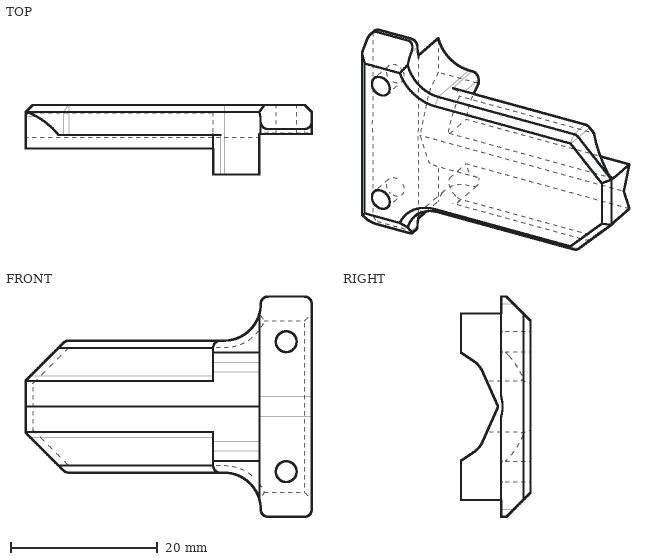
import cadquery as cq
import math


length = 38.95
plate_height = 30.0
clamp_depth = 9.5

plate_width = 6.97
plate_depth = 4.0
plate_end_chamfer = 3.3
hole_diameter = 2.8
hole_spacing = 17.68
relief_radius = 5.0
relief_half_height = 1.35

body_half_height = 9.0
body_depth = 4.1
tip_chamfer = 5.45
neck_radius = 4.95
corner_radius = 1.0
back_chamfer = 0.97

clamp_start = 25.5
clamp_end = 31.8
rail_half_height = 3.45

channel_apex_depth = 4.45
channel_v_half_height = 4.75
channel_v_angle = math.radians(24)
channel_lip_angle = math.radians(56)
channel_lip_half_height = 6.05
channel_mouth_half_height = 7.35

pocket_radius = 10.3
pocket_axis_depth = 10.6
pocket_fillet = 0.5

plate_start = length - plate_width
plate_half_height = plate_height / 2
bevel_start = plate_half_height - plate_end_chamfer


def block(x_range, depth_range, z_range):
    """Box between two X, two depths in front of the back face, and two Z."""
    size_x = x_range[1] - x_range[0]
    size_y = depth_range[1] - depth_range[0]
    size_z = z_range[1] - z_range[0]
    corner = (x_range[0], -depth_range[1], z_range[0])
    return cq.Workplane("XY").box(size_x, size_y, size_z, centered=False).translate(corner)


def mirrored(half):
    """Join a feature with its copy on the other side of Z = 0."""
    return half.union(half.mirror("XY"))


def make_upper_outline():
    """Upper half of the outline: pointed arm, concave neck and end plate, at full depth."""
    neck_start = plate_start - neck_radius
    neck_end = body_half_height + neck_radius
    neck_offset = neck_radius * math.sqrt(0.5)
    neck_middle = (neck_start + neck_offset, neck_end - neck_offset)
    outline = (
        cq.Workplane("XZ")
        .lineTo(0, body_half_height - tip_chamfer)
        .lineTo(tip_chamfer, body_half_height)
        .lineTo(neck_start, body_half_height)
        .threePointArc(neck_middle, (plate_start, neck_end))
        .lineTo(plate_start, plate_half_height)
        .lineTo(length, plate_half_height)
        .lineTo(length, 0)
        .close()
        .extrude(clamp_depth)
    )
    rounded_corners = [
        (tip_chamfer, body_half_height),
        (plate_start, plate_half_height),
        (length, plate_half_height),
    ]
    for x, z in rounded_corners:
        outline = outline.edges(cq.NearestToPointSelector((x, -clamp_depth / 2, z))).fillet(corner_radius)
    return outline


def make_end_wedge():
    """Corner cut away behind the upper end of the plate."""
    return (
        cq.Workplane("YZ")
        .moveTo(0, bevel_start)
        .lineTo(-plate_end_chamfer, plate_half_height)
        .lineTo(0, plate_half_height)
        .close()
        .extrude(length)
    )


def make_blank():
    """Full-depth blank with bevelled plate ends and a chamfer along the rest of the back."""
    blank = mirrored(make_upper_outline().cut(make_end_wedge())).clean()
    return blank.faces(">Y").edges("not (>Z or <Z)").chamfer(back_chamfer)


def trim_depths(blank):
    """Cut the arms, the rail and the plate back from the full clamp depth."""
    front = clamp_depth
    arm = block((0, clamp_start), (body_depth, front), (rail_half_height, plate_half_height))
    plate = block((clamp_end, length), (plate_depth, front), (-plate_half_height, plate_half_height))
    return blank.cut(mirrored(arm)).cut(plate)


def round_clamp(part):
    """Round the two clamp corners that stand in front of the arms."""
    for side in (1, -1):
        middle = (clamp_start, -(body_depth + clamp_depth) / 2, side * body_half_height)
        part = part.edges(cq.NearestToPointSelector(middle)).fillet(corner_radius)
    return part


def make_pocket():
    """Trough above the rail with a curved floor, filleted where it meets the rail."""
    reach = block((0, clamp_start), (0, body_depth), (rail_half_height, body_half_height))
    curve = (
        cq.Workplane("YZ")
        .center(-pocket_axis_depth, 0)
        .circle(pocket_radius)
        .extrude(clamp_start)
    )
    pocket = reach.intersect(curve)
    return pocket.edges("|X").edges(">Y").fillet(pocket_fillet)


def make_channel():
    """Upper half of the channel, from the V apex to the mouth at the clamp front."""
    bend_depth = channel_apex_depth + channel_v_half_height * math.tan(channel_v_angle)
    mouth_to_lip = channel_mouth_half_height - channel_lip_half_height
    lip_depth = clamp_depth - mouth_to_lip * math.tan(channel_lip_angle)
    return (
        cq.Workplane("YZ")
        .moveTo(-channel_apex_depth, 0)
        .lineTo(-bend_depth, channel_v_half_height)
        .tangentArcPoint((-lip_depth, channel_lip_half_height), relative=False)
        .lineTo(-clamp_depth, channel_mouth_half_height)
        .lineTo(-clamp_depth, 0)
        .close()
        .extrude(clamp_end)
    )


def make_relief():
    """Shallow round groove across the front of the plate, in line with the channel."""
    axis_depth = plate_depth + math.sqrt(relief_radius**2 - relief_half_height**2)
    return (
        cq.Workplane("YZ", origin=(clamp_end, 0, 0))
        .center(-axis_depth, 0)
        .circle(relief_radius)
        .extrude(length - clamp_end)
    )


def make_holes():
    """Two through holes on the centre line of the plate."""
    x = plate_start + plate_width / 2
    z = hole_spacing / 2
    return cq.Workplane("XZ").pushPoints([(x, z), (x, -z)]).circle(hole_diameter / 2).extrude(plate_depth)


result = round_clamp(trim_depths(make_blank()))
result = result.cut(mirrored(make_pocket()))
result = result.cut(mirrored(make_channel()))
result = result.cut(make_relief())
result = result.cut(make_holes())